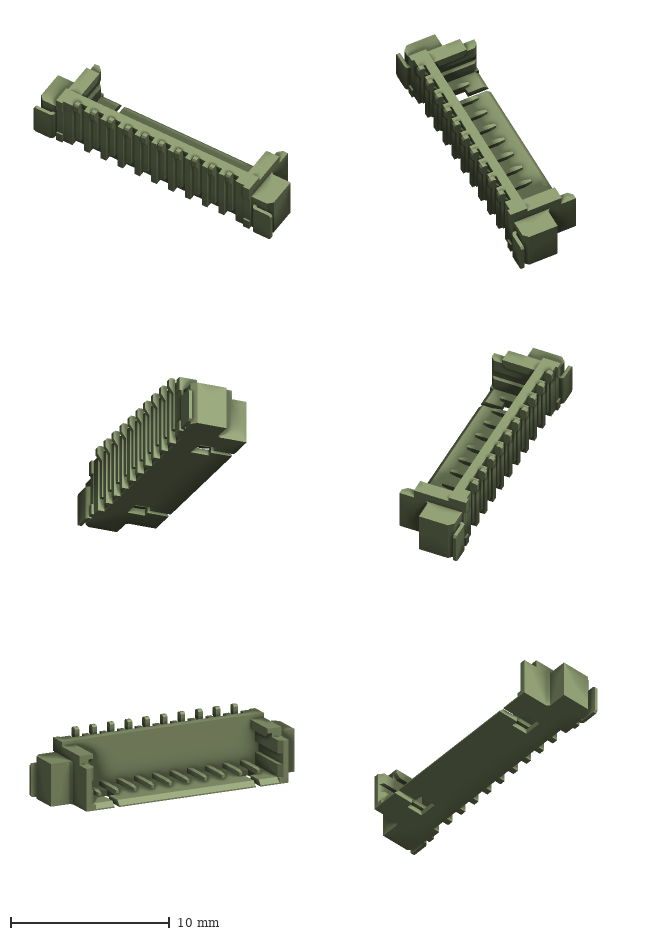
import cadquery as cq


contact_count = 10
pitch = 1.25
pin_width = 0.32
pin_bottom = 0.5
pin_top = pin_bottom + pin_width
pin_tip_start = 3.1
pin_tip_end = 3.6
pin_tip_size = 0.2
tail_top = 4.2
tail_depth = 0.46
tail_chamfer = 0.1
tail_bend_top = 3.62
tail_bend_bottom = 3.2
tail_bend_shift = 0.3
leg_bottom = 0.69

body_width = 14.35
body_half_width = body_width / 2
body_back = 4.75
front_face = 0.28
rear_wall_height = 3.7
rear_wall_back = 1.35
groove_floor = 0.72
groove_width = 0.85

floor_thickness = 0.39
side_wall = 0.65
side_wall_height = 2.8
rib_width = 0.97
rib_top = 3.4
rib_back = 3.75
rib_chamfer = 0.28
mouth_chamfer = 0.3
key_bottom = 1.24
key_top = 1.95
key_depth = 0.26

latch_x = (contact_count / 2 - 1) * pitch
latch_window_width = pitch
latch_window_front = 2.14
latch_window_back = 3.32
latch_slot_width = 0.35

strip_width = 0.45
strip_front = 0.12
strip_middle_front = 0.25
strip_step_bottom = 0.69

ear_end = 8.65
ear_front = 0.39
ear_back = 2.72
ear_chamfer = 0.32
ear_gusset = 0.16
tab_end = 8.82
tab_inner = 7.38
tab_front = 0.05
tab_thickness = 0.23
tab_height = 2.19
tab_bend_radius = 0.26
tab_corner = 0.15
tab_embed = 0.18


def block(x0, x1, y0, y1, z0, z1):
    """Box between the given limits on each axis."""
    return cq.Workplane("XY").box(x1 - x0, y1 - y0, z1 - z0, centered=False).translate((x0, y0, z0))


def on_both_ends(shape):
    """A shape joined with its mirror image at the other end of the row."""
    return shape.union(shape.mirror("YZ"))


def make_housing():
    """Rear wall, floor and side walls, before any openings are cut."""
    w = body_half_width
    rear_wall = block(-w, w, front_face, rear_wall_back, 0, rear_wall_height)
    floor = block(-w, w, front_face, body_back, 0, floor_thickness)
    side = block(w - side_wall, w, front_face, body_back, 0, side_wall_height)
    rib = block(w - rib_width, w, front_face, rib_back, side_wall_height, rib_top)
    rib_relief = (
        cq.Workplane("YZ", origin=(w - rib_width, 0, 0))
        .moveTo(rib_back, side_wall_height)
        .lineTo(rib_back, side_wall_height + rib_chamfer)
        .lineTo(rib_back - rib_chamfer, side_wall_height)
        .close()
        .extrude(rib_width - side_wall)
    )
    side = side.union(rib.cut(rib_relief))
    return rear_wall.union(floor).union(on_both_ends(side))


def make_mouth_flare():
    """Lead-in cut that widens the mating opening at the floor and side walls."""
    inner = body_half_width - side_wall
    side_flare = (
        cq.Workplane("XY", origin=(0, 0, floor_thickness))
        .moveTo(inner, body_back)
        .lineTo(inner + mouth_chamfer, body_back)
        .lineTo(inner, body_back - mouth_chamfer)
        .close()
        .extrude(side_wall_height - floor_thickness)
    )
    floor_flare = (
        cq.Workplane("YZ", origin=(-inner, 0, 0))
        .moveTo(body_back, floor_thickness)
        .lineTo(body_back, floor_thickness - mouth_chamfer)
        .lineTo(body_back - mouth_chamfer, floor_thickness)
        .close()
        .extrude(2 * inner)
    )
    return floor_flare.union(on_both_ends(side_flare))


def make_latch_opening():
    """Window with a narrow slot running out through the mating edge of the floor."""
    half_window = latch_window_width / 2
    half_slot = latch_slot_width / 2
    window = block(latch_x - half_window, latch_x + half_window,
                   latch_window_front, latch_window_back, 0, floor_thickness)
    slot = block(latch_x - half_slot, latch_x + half_slot,
                 latch_window_back, body_back, 0, floor_thickness)
    return on_both_ends(window.union(slot))


def make_key_groove():
    """Groove along the inner face of each side wall."""
    inner = body_half_width - side_wall
    return on_both_ends(block(inner, inner + key_depth, rear_wall_back, body_back, key_bottom, key_top))


def make_end_strips():
    """Strip at each end of the mounting face, set back over its middle height."""
    x0 = body_half_width - strip_width
    x1 = body_half_width
    strip = block(x0, x1, strip_middle_front, front_face, 0, rear_wall_height)
    foot = block(x0, x1, strip_front, front_face, 0, strip_step_bottom)
    head = block(x0, x1, strip_front, front_face, side_wall_height, rear_wall_height)
    return on_both_ends(strip.union(foot).union(head))


def make_ears():
    """Block outside each side wall, with a chamfered outer front corner and a rear gusset."""
    ear = (
        cq.Workplane("XY")
        .moveTo(body_half_width, ear_front)
        .lineTo(ear_end - ear_chamfer, ear_front)
        .lineTo(ear_end, ear_front + ear_chamfer)
        .lineTo(ear_end, ear_back)
        .lineTo(body_half_width + ear_gusset, ear_back)
        .lineTo(body_half_width, ear_back + ear_gusset)
        .close()
        .extrude(side_wall_height)
    )
    return on_both_ends(ear)


def make_solder_tabs():
    """Flat plate in front of each ear, bent back into the ear at its inner edge."""
    tab_back = tab_front + tab_thickness
    inner_radius = tab_bend_radius - tab_thickness
    leg_outer = tab_inner + tab_thickness
    bend_start = tab_inner + tab_bend_radius
    leg_end = ear_front + tab_embed
    tab = (
        cq.Workplane("XY")
        .moveTo(tab_end, tab_front)
        .lineTo(bend_start, tab_front)
        .radiusArc((tab_inner, tab_front + tab_bend_radius), tab_bend_radius)
        .lineTo(tab_inner, leg_end)
        .lineTo(leg_outer, leg_end)
        .lineTo(leg_outer, tab_back + inner_radius)
        .radiusArc((bend_start, tab_back), -inner_radius)
        .lineTo(tab_end, tab_back)
        .close()
        .extrude(tab_height)
        .edges("|Y and >X")
        .chamfer(tab_corner)
    )
    return on_both_ends(tab)


def make_contact():
    """Contact centred on X = 0: offset upright tail, vertical leg and tapered pin."""
    leg_front = tail_bend_shift
    leg_back = tail_depth + tail_bend_shift
    body = (
        cq.Workplane("YZ", origin=(-pin_width / 2, 0, 0))
        .moveTo(0, tail_bend_top)
        .lineTo(leg_front, tail_bend_bottom)
        .lineTo(leg_front, leg_bottom)
        .lineTo(leg_back, leg_bottom)
        .lineTo(leg_back, pin_bottom)
        .lineTo(pin_tip_start, pin_bottom)
        .lineTo(pin_tip_start, pin_top)
        .lineTo(leg_back, pin_top)
        .lineTo(leg_back, tail_bend_bottom)
        .lineTo(tail_depth, tail_bend_top)
        .lineTo(tail_depth, tail_top - tail_chamfer)
        .lineTo(tail_depth - tail_chamfer, tail_top)
        .lineTo(tail_chamfer, tail_top)
        .lineTo(0, tail_top - tail_chamfer)
        .close()
        .extrude(pin_width)
    )
    pin_center_z = (pin_bottom + pin_top) / 2
    tip = (
        cq.Workplane("XZ", origin=(0, pin_tip_end, pin_center_z))
        .rect(pin_tip_size, pin_tip_size)
        .workplane(offset=pin_tip_end - pin_tip_start)
        .rect(pin_width, pin_width)
        .loft()
    )
    return body.union(tip)


housing = make_housing().union(make_end_strips()).union(make_ears()).union(make_solder_tabs())
housing = housing.cut(make_mouth_flare()).cut(make_latch_opening()).cut(make_key_groove())

contact = make_contact()
contact_groove = block(-groove_width / 2, groove_width / 2, 0, groove_floor, 0, rear_wall_height)

result = housing
for index in range(contact_count):
    x = (index - (contact_count - 1) / 2) * pitch
    result = result.cut(contact_groove.translate((x, 0, 0)))
    result = result.union(contact.translate((x, 0, 0)))